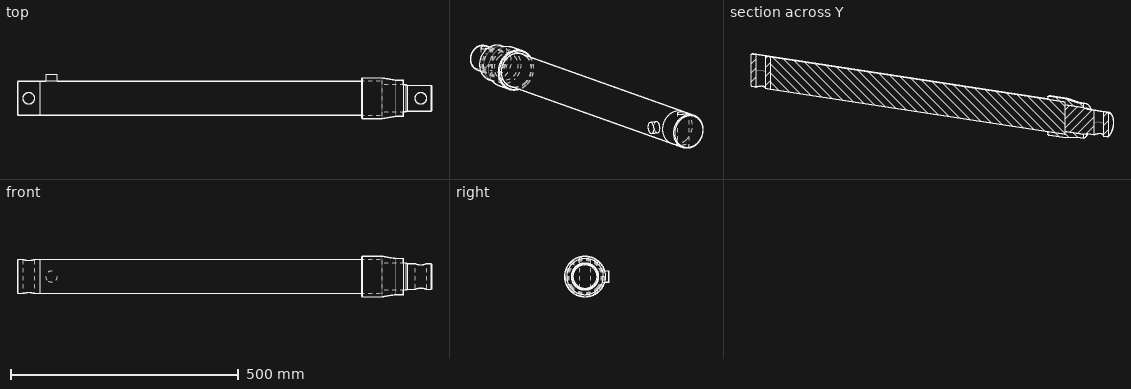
import cadquery as cq

total_length = 910.0
cap_length = 50.0
gland_start = 755.0
gland_end = 847.0

barrel_diameter = 75.0
edge_chamfer = 2.0
socket_chamfer = 1.0
pin_hole_diameter = 25.0
pin_hole_inset = 25.0

port_diameter = 25.0
port_height = 15.0
port_x = 75.0

collar_diameter = 90.0
collar_length = 45.0
taper_length = 30.0
nose_diameter = 80.0
socket_depth = collar_length

rod_diameter = 60.0
eye_diameter = 57.0
shoulder_length = 6.0
shoulder_taper = 2.5
eye_chamfer = 2.5

barrel_end = gland_start + socket_depth
barrel_radius = barrel_diameter / 2
collar_radius = collar_diameter / 2
nose_radius = nose_diameter / 2
rod_radius = rod_diameter / 2
eye_radius = eye_diameter / 2


def cylinder_along_x(start, end, diameter):
    return cq.Workplane("YZ", origin=(start, 0, 0)).circle(diameter / 2).extrude(end - start)


def revolve_about_x(profile):
    """Revolve an outline of (x, radius) points about the X axis."""
    return cq.Workplane("XY").polyline(profile).close().revolve(360, (0, 0, 0), (1, 0, 0))


def cut_pin_hole(body, x):
    """Cut a cross hole for a pivot pin, right through along Z."""
    drill = (
        cq.Workplane("XY")
        .center(x, 0)
        .circle(pin_hole_diameter / 2)
        .extrude(collar_diameter, both=True)
    )
    return body.cut(drill)


def make_cap():
    cap = cylinder_along_x(0, cap_length, barrel_diameter)
    cap = cap.faces("<X").chamfer(edge_chamfer)
    return cut_pin_hole(cap, pin_hole_inset)


def make_barrel():
    return cylinder_along_x(cap_length, barrel_end, barrel_diameter)


def make_port():
    return (
        cq.Workplane("XZ", origin=(port_x, barrel_radius, 0))
        .circle(port_diameter / 2)
        .extrude(-port_height)
    )


def make_gland():
    taper_start = gland_start + collar_length
    taper_end = taper_start + taper_length
    return revolve_about_x([
        (gland_start + socket_chamfer, barrel_radius),
        (gland_start, barrel_radius + socket_chamfer),
        (gland_start, collar_radius - edge_chamfer),
        (gland_start + edge_chamfer, collar_radius),
        (taper_start, collar_radius),
        (taper_end, nose_radius),
        (gland_end, nose_radius),
        (gland_end, rod_radius),
        (barrel_end, rod_radius),
        (barrel_end, barrel_radius),
    ])


def make_rod():
    shoulder_end = gland_end + shoulder_length
    rod = revolve_about_x([
        (barrel_end, 0),
        (barrel_end, rod_radius),
        (shoulder_end, rod_radius),
        (shoulder_end + shoulder_taper, eye_radius),
        (total_length - eye_chamfer, eye_radius),
        (total_length, eye_radius - eye_chamfer),
        (total_length, 0),
    ])
    return cut_pin_hole(rod, total_length - pin_hole_inset)


cap = make_cap()
barrel = make_barrel()
port = make_port()
gland = make_gland()
rod = make_rod()

result = cq.Compound.makeCompound([
    cap.val(),
    barrel.val(),
    port.val(),
    gland.val(),
    rod.val(),
])